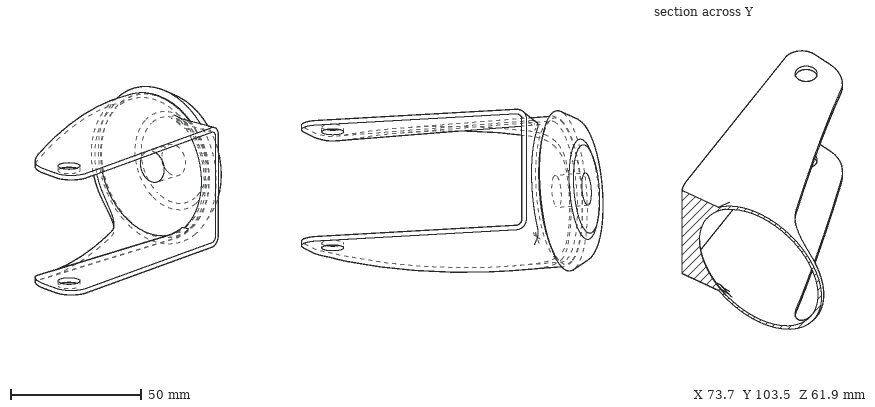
import cadquery as cq
import math

LENGTH = 103.4
SHEET = 1.9

CAP_RADIUS = 30.97
CAP_RIM_Y = -9.3
CROWN_RADIUS = 17.1
CROWN_FOOT_RADIUS = 19.3
CROWN_FOOT_Y = -1.0
SHOULDER_INNER_RADIUS = 24.6
SHOULDER_MID = (26.7, -1.9)
SHOULDER_OUTER = (27.9, -3.5)
NECK_RADIUS = 28.3
NECK_Y = -10.3
BORE_RADIUS = 6.2

CUP_RADIUS = 29.1
CUP_INNER_RADIUS = CUP_RADIUS - SHEET
CUP_TOP_Y = -10.2
CUP_EDGE_RADIUS = SHEET
CUP_FLOOR_Y = CUP_TOP_Y - SHEET
CUP_RIM_Y = -15.3

LEG_OUTER_Z = 24.0
LEG_BLEND_RADIUS = 10.3
LEG_BLEND_Z = LEG_OUTER_Z + LEG_BLEND_RADIUS
LEG_BLEND_X = math.sqrt((CUP_RADIUS + LEG_BLEND_RADIUS) ** 2 - LEG_BLEND_Z**2)
WEB_TOP_Y = -13.1
WEB_BEND_RADIUS = 4.0
STEP_ROUND_RADIUS = 2.3

THROAT_CORNER = (-13.2, CUP_RIM_Y)
TOE_CORNER = (17.5, -100.5)
HEEL_CORNER = (43.5, -104.9)
BACK_TOP_CORNER = (35.7, WEB_TOP_Y)
THROAT_RADIUS = 14.5
TOE_RADIUS = 15.3
HEEL_RADIUS = 7.2
AXLE_X = 31.0
AXLE_Y = -92.6
AXLE_RADIUS = 4.2

BEYOND = 62.1
DEPTH = LENGTH + 10.3


def cylinder(radius, top_y):
    """Cylinder about the Y axis, reaching from top_y past the leg tips."""
    return cq.Workplane("XZ", origin=(0, top_y, 0)).circle(radius).extrude(DEPTH)


def fork_prism(offset, top_y):
    """Filled round-backed section, inset by offset, extruded along the legs from top_y."""
    cup_radius = CUP_RADIUS - offset
    leg_z = LEG_OUTER_Z - offset
    blend_radius = LEG_BLEND_RADIUS + offset
    blend_angle = math.atan2(LEG_BLEND_Z, LEG_BLEND_X)
    cup_x = cup_radius * math.cos(blend_angle)
    cup_z = cup_radius * math.sin(blend_angle)
    middle_angle = (blend_angle + math.pi / 2) / 2
    middle_x = LEG_BLEND_X - blend_radius * math.cos(middle_angle)
    middle_z = LEG_BLEND_Z - blend_radius * math.sin(middle_angle)
    return (
        cq.Workplane("XZ", origin=(0, top_y, 0))
        .moveTo(BEYOND, leg_z)
        .lineTo(LEG_BLEND_X, leg_z)
        .threePointArc((middle_x, middle_z), (cup_x, cup_z))
        .threePointArc((-cup_radius, 0), (cup_x, -cup_z))
        .threePointArc((middle_x, -middle_z), (LEG_BLEND_X, -leg_z))
        .lineTo(BEYOND, -leg_z)
        .close()
        .extrude(DEPTH)
    )


def fork_envelope(offset):
    """Fork prism under the web surface at this offset, with its top edges bent over."""
    prism = fork_prism(offset, WEB_TOP_Y - offset)
    return prism.faces(">Y").edges("not >X").fillet(WEB_BEND_RADIUS - offset)


def step_rounding():
    """Material removed to round the step from the cup floor to the web."""
    web_y = WEB_TOP_Y - SHEET
    outer_radius = CUP_INNER_RADIUS + STEP_ROUND_RADIUS
    chord = STEP_ROUND_RADIUS * math.sqrt(0.5)
    arc_middle = (outer_radius - chord, web_y + STEP_ROUND_RADIUS - chord)
    return (
        cq.Workplane("XY")
        .moveTo(CUP_INNER_RADIUS, web_y)
        .lineTo(CUP_INNER_RADIUS, web_y + STEP_ROUND_RADIUS)
        .threePointArc(arc_middle, (outer_radius, web_y))
        .close()
        .revolve(360, (0, 0, 0), (0, 1, 0))
    )


def leg_outline():
    """Side outline of cup and legs, extruded across both legs."""
    outline = (
        cq.Workplane("XY")
        .moveTo(-BEYOND, 0)
        .lineTo(-BEYOND, CUP_RIM_Y)
        .lineTo(*THROAT_CORNER)
        .lineTo(*TOE_CORNER)
        .lineTo(*HEEL_CORNER)
        .lineTo(*BACK_TOP_CORNER)
        .lineTo(BACK_TOP_CORNER[0], 0)
        .close()
        .extrude(BEYOND, both=True)
    )
    corners = (
        (THROAT_CORNER, THROAT_RADIUS),
        (TOE_CORNER, TOE_RADIUS),
        (HEEL_CORNER, HEEL_RADIUS),
    )
    for (x, y), radius in corners:
        corner_edge = cq.selectors.NearestToPointSelector((x, y, 0))
        outline = outline.edges("|Z").edges(corner_edge).fillet(radius)
    return outline


def fork():
    """Cup, web and legs as one formed sheet."""
    outer = cylinder(CUP_RADIUS, CUP_TOP_Y).faces(">Y").edges().fillet(CUP_EDGE_RADIUS)
    outer = outer.union(fork_envelope(0))
    leg_space = fork_envelope(SHEET)
    rounding = step_rounding().intersect(fork_prism(SHEET, CUP_FLOOR_Y))
    inner = cylinder(CUP_INNER_RADIUS, CUP_FLOOR_Y).union(leg_space).union(rounding)
    axle_hole = (
        cq.Workplane("XY").center(AXLE_X, AXLE_Y).circle(AXLE_RADIUS).extrude(BEYOND, both=True)
    )
    return outer.cut(inner).intersect(leg_outline()).cut(axle_hole)


def cap():
    """Turned cap, overlapping the closed end of the cup."""
    return (
        cq.Workplane("XY")
        .lineTo(CROWN_RADIUS, 0)
        .lineTo(CROWN_FOOT_RADIUS, CROWN_FOOT_Y)
        .lineTo(SHOULDER_INNER_RADIUS, CROWN_FOOT_Y)
        .threePointArc(SHOULDER_MID, SHOULDER_OUTER)
        .lineTo(CAP_RADIUS, CAP_RIM_Y)
        .lineTo(NECK_RADIUS, NECK_Y)
        .lineTo(CUP_RADIUS - CUP_EDGE_RADIUS, CUP_FLOOR_Y)
        .lineTo(0, CUP_FLOOR_Y)
        .close()
        .revolve(360, (0, 0, 0), (0, 1, 0))
    )


result = fork().union(cap()).cut(cylinder(BORE_RADIUS, 0))